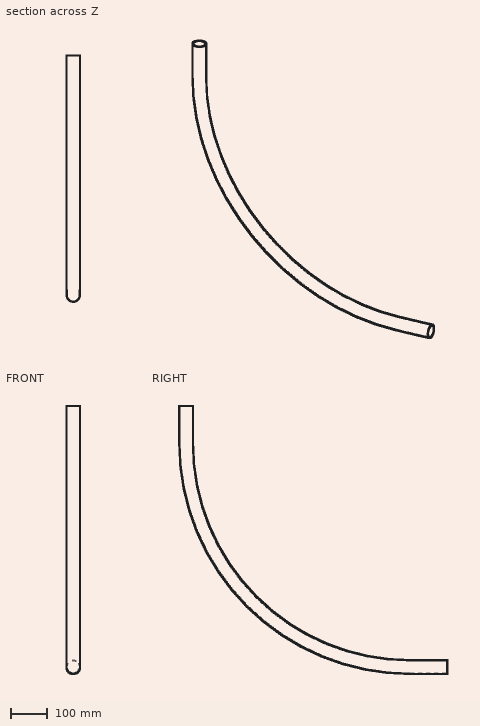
import cadquery as cq
import math

overall_size = 730.0
outer_diameter = 38.0
inner_diameter = 33.5
straight_length = 102.0

outer_radius = outer_diameter / 2
bend_radius = overall_size - outer_radius - straight_length
arc_offset = bend_radius * (1 - math.sqrt(0.5))

upright_top = (0, bend_radius + straight_length)
bend_start = (0, bend_radius)
bend_middle = (arc_offset, arc_offset)
bend_end = (bend_radius, 0)
level_end = (bend_radius + straight_length, 0)

centreline = (
    cq.Workplane("YZ")
    .moveTo(*upright_top)
    .lineTo(*bend_start)
    .threePointArc(bend_middle, bend_end)
    .lineTo(*level_end)
)

result = (
    cq.Workplane("XY", origin=(0, *upright_top))
    .circle(outer_radius)
    .circle(inner_diameter / 2)
    .sweep(centreline)
)